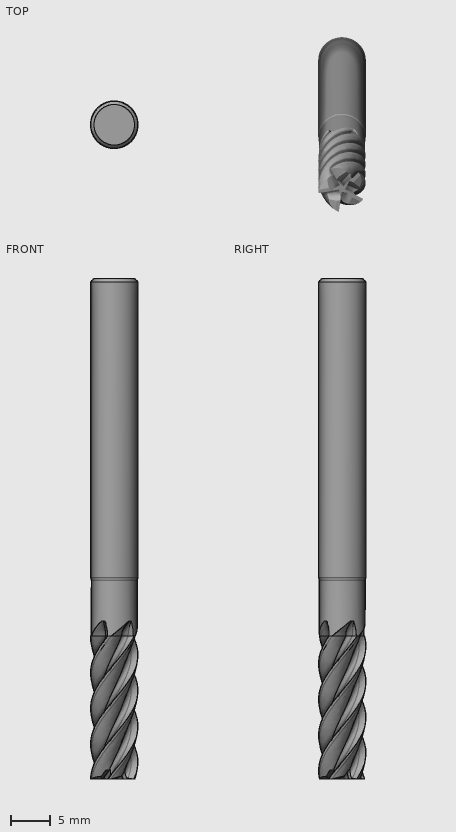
import cadquery as cq
import math


TOTAL_LENGTH = 63.0
SHANK_DIAMETER = 6.0
NECK_DIAMETER = 5.8
SHANK_START = 25.0
NECK_STEP_HEIGHT = 0.4
TOP_CHAMFER = 0.45

CUT_LENGTH = 18.0
FLUTE_COUNT = 5
HELIX_ANGLE = 40.0
FIRST_EDGE_ANGLE = 37.0

LAND_ANGLE = 8.0
LAND_RADIUS = 2.9
BACK_ANGLE = 25.0
BACK_RADIUS = 2.5
FLOOR_ANGLE = 49.0
CORE_RADIUS = 1.7
HOLLOW_ANGLE = 62.0
HOLLOW_RADIUS = 1.7
RAKE_ANGLE = 70.0
RAKE_RADIUS = 2.15

END_LAND_WIDTH = 0.45
END_RELIEF_ANGLE = 20.0
GASH_HEIGHT = 1.15
GASH_ROOF_WIDTH = 0.5
GASH_WIDTH = 1.4
WEB_RADIUS = 0.4

RUNOUT_HEIGHT = 1.9
RUNOUT_TIP_ANGLE = 59.0
RUNOUT_TIP_SPREAD = 4.0
RUNOUT_STEPS = 2

CUTTER_RADIUS = SHANK_DIAMETER / 2
NECK_RADIUS = NECK_DIAMETER / 2
CLEAR_RADIUS = 1.3 * CUTTER_RADIUS
TOOTH_PITCH = 360.0 / FLUTE_COUNT
HELIX_LEAD = math.pi * SHANK_DIAMETER / math.tan(math.radians(HELIX_ANGLE))
TWIST_PER_LENGTH = 360.0 / HELIX_LEAD
EDGE_ANGLES = [FIRST_EDGE_ANGLE + tooth * TOOTH_PITCH for tooth in range(FLUTE_COUNT)]


def polar(radius, angle):
    """Point at a radius and an angle in degrees."""
    return (radius * math.cos(math.radians(angle)), radius * math.sin(math.radians(angle)))


def blend(start, end, fraction):
    return start + (end - start) * fraction


def about_axis(body, angle):
    """Copy of a body turned about the tool axis."""
    return body.rotate((0, 0, 0), (0, 0, 1), angle)


def fluted_bar():
    """Twisted bar: each tooth has a narrow land, a rounded back and a flat rake."""
    section = cq.Workplane("XY").moveTo(*polar(CUTTER_RADIUS, FIRST_EDGE_ANGLE))
    for edge in EDGE_ANGLES:
        section = (
            section.lineTo(*polar(LAND_RADIUS, edge + LAND_ANGLE))
            .threePointArc(polar(BACK_RADIUS, edge + BACK_ANGLE), polar(CORE_RADIUS, edge + FLOOR_ANGLE))
            .threePointArc(polar(HOLLOW_RADIUS, edge + HOLLOW_ANGLE), polar(RAKE_RADIUS, edge + RAKE_ANGLE))
            .lineTo(*polar(CUTTER_RADIUS, edge + TOOTH_PITCH))
        )
    return section.close().twistExtrude(CUT_LENGTH, CUT_LENGTH * TWIST_PER_LENGTH)


def end_relief():
    """Wedge under one tooth, with its end edge along +X, that slopes the end face up behind its land."""
    rise = (CLEAR_RADIUS - END_LAND_WIDTH) * math.tan(math.radians(END_RELIEF_ANGLE))
    wedge = (
        cq.Workplane("YZ")
        .polyline([(END_LAND_WIDTH, 0), (CLEAR_RADIUS, 0), (CLEAR_RADIUS, rise)])
        .close()
        .extrude(CLEAR_RADIUS)
    )
    sector = (
        cq.Workplane("XY")
        .lineTo(CLEAR_RADIUS, 0)
        .threePointArc(polar(CLEAR_RADIUS, TOOTH_PITCH / 2), polar(CLEAR_RADIUS, TOOTH_PITCH))
        .close()
        .extrude(rise)
    )
    return wedge.intersect(sector)


def end_gash():
    """Notch in front of one end edge that lies along +X."""
    return (
        cq.Workplane("YZ")
        .workplane(offset=WEB_RADIUS)
        .polyline([(0, 0), (0, GASH_HEIGHT), (-GASH_ROOF_WIDTH, GASH_HEIGHT), (-GASH_WIDTH, 0)])
        .close()
        .extrude(CLEAR_RADIUS)
    )


def make_cutter():
    cutter = fluted_bar()
    relief = end_relief()
    gash = end_gash()
    for edge in EDGE_ANGLES:
        cutter = cutter.cut(about_axis(relief, edge)).cut(about_axis(gash, edge))
    return cutter


def turned_shank():
    """Shank with its top chamfer and the slightly thinner neck."""
    return (
        cq.Workplane("XZ")
        .moveTo(0, CUT_LENGTH)
        .lineTo(NECK_RADIUS, CUT_LENGTH)
        .lineTo(NECK_RADIUS, SHANK_START)
        .lineTo(CUTTER_RADIUS, SHANK_START + NECK_STEP_HEIGHT)
        .lineTo(CUTTER_RADIUS, TOTAL_LENGTH - TOP_CHAMFER)
        .lineTo(CUTTER_RADIUS - TOP_CHAMFER, TOTAL_LENGTH)
        .lineTo(0, TOTAL_LENGTH)
        .close()
        .revolve(360, (0, 0, 0), (0, 1, 0))
    )


def runout_section(height_fraction):
    """Flute opening behind an edge along +X; it narrows and rises to the neck surface."""
    closing = height_fraction**2
    tip_start = RUNOUT_TIP_ANGLE - RUNOUT_TIP_SPREAD
    tip_end = RUNOUT_TIP_ANGLE + RUNOUT_TIP_SPREAD
    land = blend(LAND_ANGLE, tip_start, height_fraction)
    back = blend(BACK_ANGLE, RUNOUT_TIP_ANGLE - RUNOUT_TIP_SPREAD / 2, height_fraction)
    floor = blend(FLOOR_ANGLE, RUNOUT_TIP_ANGLE, closing)
    hollow = blend(HOLLOW_ANGLE, RUNOUT_TIP_ANGLE + RUNOUT_TIP_SPREAD / 2, closing)
    rake = blend(RAKE_ANGLE, tip_end, closing)
    edge = blend(TOOTH_PITCH, tip_end, closing)
    back_radius = blend(BACK_RADIUS, LAND_RADIUS, closing)
    floor_radius = blend(CORE_RADIUS, NECK_RADIUS, closing)
    hollow_radius = blend(HOLLOW_RADIUS, NECK_RADIUS, closing)
    rake_radius = blend(RAKE_RADIUS, NECK_RADIUS, closing)
    return (
        cq.Workplane("XY")
        .workplane(offset=CUT_LENGTH + height_fraction * RUNOUT_HEIGHT)
        .moveTo(*polar(CLEAR_RADIUS, land))
        .lineTo(*polar(LAND_RADIUS, land))
        .threePointArc(polar(back_radius, back), polar(floor_radius, floor))
        .threePointArc(polar(hollow_radius, hollow), polar(rake_radius, rake))
        .lineTo(*polar(CLEAR_RADIUS, edge))
        .close()
        .val()
    )


def make_shank():
    sections = [runout_section(step / RUNOUT_STEPS) for step in range(RUNOUT_STEPS + 1)]
    runout = cq.Workplane(cq.Solid.makeLoft(sections))
    shank = turned_shank()
    for edge in EDGE_ANGLES:
        shank = shank.cut(about_axis(runout, edge + CUT_LENGTH * TWIST_PER_LENGTH))
    return shank


shank = make_shank()
cutter = make_cutter()
result = cq.Compound.makeCompound([shank.solids().val(), cutter.solids().val()])